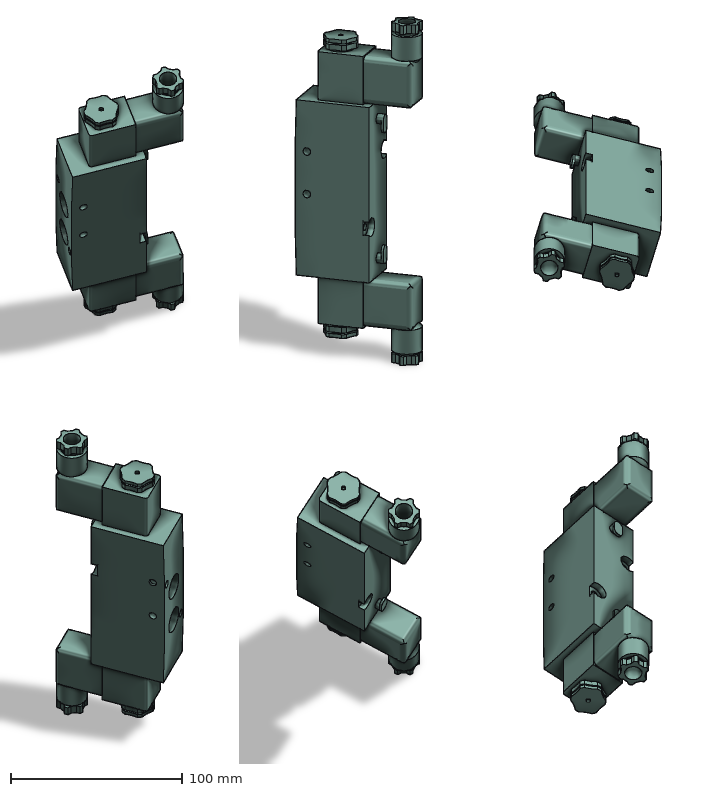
import cadquery as cq
import math


body_width = 30.0
body_depth = 46.0
body_half_length = 27.2
cap_end = 53.7
cap_plate_thickness = 1.9
cap_front_taper = 0.6

port_mouth_diameter = 15.5
port_floor_diameter = 15.0
port_depth = 25.0
port_pitch = 26.0
port_middle_z = -3.3
small_hole_diameter = 4.5
cross_hole_y = 7.3
mount_hole_x = 11.2
mount_hole_z = 20.5
counterbore_diameter = 11.0
counterbore_depth = 4.0

lever_width = 6.0
lever_z = 42.6
lever_reach = 5.2
lever_thickness = 1.5
lever_projection = 4.5

coil_width = 22.0
coil_front_y = 12.3
coil_back_y = 40.8
coil_end = 83.2
coil_corner_radius = 1.9

coil_nut_y = body_depth / 2
coil_neck_diameter = 15.0
coil_nut_radius = 10.3
coil_nut_valley_radius = 9.2
coil_nut_valley_half_angle = 22.0
coil_nut_start = 84.7
coil_groove_start = 88.0
coil_groove_end = 89.0
coil_nut_end = 91.3
coil_nut_hole_diameter = 2.5
coil_nut_hole_depth = 2.0

connector_width = 21.0
connector_back_y = 70.7
connector_end = 82.5
connector_edge_radius = 3.3

gland_diameter = 18.0
gland_back_y = 73.0
gland_y = gland_back_y - gland_diameter / 2
gland_start = 82.4
gland_end = 97.0
gland_cone_height = 2.7
gland_neck_diameter = 13.5
gland_nut_start = 98.5
gland_notch_floor = 7.3
gland_notch_floor_width = 3.1
gland_notch_half_angle = 23.0
overall_half_length = 104.0
cable_bore_diameter = 10.0

grip_count = 6


def box(x_size, y_min, y_max, z_min, z_max):
    """Block centred on X = 0 between the given Y and Z limits."""
    size_y = y_max - y_min
    return cq.Workplane("XY", origin=(0, y_min, z_min)).box(
        x_size, size_y, z_max - z_min, centered=(True, False, False)
    )


def upright(diameter, y, z_min, z_max):
    """Cylinder along Z on the plane X = 0."""
    return cq.Workplane("XY", origin=(0, y, z_min)).circle(diameter / 2).extrude(z_max - z_min)


def along_y(diameter, x, z, y_min, y_max):
    """Cylinder along Y."""
    plane = cq.Plane(origin=(x, y_min, z), xDir=(1, 0, 0), normal=(0, 1, 0))
    return cq.Workplane(plane).circle(diameter / 2).extrude(y_max - y_min)


def polar(radius, degrees):
    angle = math.radians(degrees)
    return (radius * math.cos(angle), radius * math.sin(angle))


def make_coil_disc(z_min, z_max):
    """Disc with six rounded lobes separated by shallow concave valleys."""
    step = 360 / grip_count
    lobe_half_angle = step / 2 - coil_nut_valley_half_angle
    first_lobe = 90
    start = polar(coil_nut_radius, first_lobe - lobe_half_angle)
    outline = cq.Workplane("XY", origin=(0, coil_nut_y, z_min)).moveTo(*start)
    for i in range(grip_count):
        lobe = first_lobe + i * step
        valley = lobe + step / 2
        outline = outline.threePointArc(
            polar(coil_nut_radius, lobe), polar(coil_nut_radius, lobe + lobe_half_angle)
        )
        outline = outline.threePointArc(
            polar(coil_nut_valley_radius, valley),
            polar(coil_nut_radius, valley + coil_nut_valley_half_angle),
        )
    return outline.close().extrude(z_max - z_min)


def make_gland_nut():
    """Round nut with six flat-bottomed notches that widen outwards."""
    nut = upright(gland_diameter, gland_y, gland_nut_start, overall_half_length)
    rim_x, rim_y = polar(gland_diameter / 2, 90 - gland_notch_half_angle)
    floor_x = gland_notch_floor_width / 2
    side_slope = (rim_x - floor_x) / (rim_y - gland_notch_floor)
    outer_y = gland_diameter / 2
    outer_x = floor_x + side_slope * (outer_y - gland_notch_floor)
    profile = [
        (-floor_x, gland_notch_floor),
        (floor_x, gland_notch_floor),
        (outer_x, outer_y),
        (-outer_x, outer_y),
    ]
    notch = (
        cq.Workplane("XY", origin=(0, gland_y, gland_nut_start))
        .polyline(profile)
        .close()
        .extrude(overall_half_length - gland_nut_start)
    )
    axis_start = (0, gland_y, 0)
    axis_end = (0, gland_y, 1)
    for i in range(grip_count):
        nut = nut.cut(notch.rotate(axis_start, axis_end, i * 360 / grip_count))
    return nut


def make_port(z):
    """Slightly tapered blind port, wider at the front face than at its floor."""
    plane = cq.Plane(origin=(0, 0, z), xDir=(1, 0, 0), normal=(0, 1, 0))
    return (
        cq.Workplane(plane)
        .circle(port_mouth_diameter / 2)
        .workplane(offset=port_depth)
        .circle(port_floor_diameter / 2)
        .loft()
    )


def make_body():
    body = box(body_width, 0, body_depth, -body_half_length, body_half_length)
    for side in (-1, 1):
        port_z = port_middle_z + side * port_pitch / 2
        body = body.cut(make_port(port_z))
        hole_x = -side * mount_hole_x
        hole_z = side * mount_hole_z
        body = body.cut(along_y(small_hole_diameter, hole_x, hole_z, 0, body_depth))
        counterbore_floor = body_depth - counterbore_depth
        body = body.cut(along_y(counterbore_diameter, hole_x, hole_z, counterbore_floor, body_depth))
    for hole_z in (port_middle_z, port_middle_z + port_pitch):
        cross_hole = (
            cq.Workplane("YZ", origin=(0, cross_hole_y, hole_z))
            .circle(small_hole_diameter / 2)
            .extrude(body_width, both=True)
        )
        body = body.cut(cross_hole)
    return body


def make_cap():
    """End cap whose front face leans back towards a straight end plate."""
    plate_start = cap_end - cap_plate_thickness
    profile = [
        (0, body_half_length),
        (cap_front_taper, plate_start),
        (cap_front_taper, cap_end),
        (body_depth, cap_end),
        (body_depth, body_half_length),
    ]
    return cq.Workplane("YZ").polyline(profile).close().extrude(body_width / 2, both=True)


def make_lever():
    lever_back = body_depth + lever_projection
    lever_front = lever_back - lever_thickness
    tip_z = lever_z - lever_reach
    stem = along_y(lever_width, 0, lever_z, body_depth, lever_back)
    arm = box(lever_width, lever_front, lever_back, tip_z, lever_z)
    tip = along_y(lever_width, 0, tip_z, lever_front, lever_back)
    return stem.union(arm).union(tip)


def make_coil():
    coil = box(coil_width, coil_front_y, coil_back_y, cap_end, coil_end)
    coil = coil.edges("|Z and <Y").fillet(coil_corner_radius)
    coil = coil.union(upright(coil_neck_diameter, coil_nut_y, coil_end, coil_nut_end))
    for z_min, z_max in ((coil_nut_start, coil_groove_start), (coil_groove_end, coil_nut_end)):
        coil = coil.union(make_coil_disc(z_min, z_max))
    hole_floor = coil_nut_end - coil_nut_hole_depth
    return coil.cut(upright(coil_nut_hole_diameter, coil_nut_y, hole_floor, coil_nut_end))


def make_connector():
    connector = box(connector_width, coil_back_y, connector_back_y, cap_end, connector_end)
    rounded_along_y = connector.edges("|Y").fillet(connector_edge_radius)
    rounded_along_x = connector.edges("|X and >Y").fillet(connector_edge_radius)
    rounded_along_z = connector.edges("|Z and >Y").fillet(connector_edge_radius)
    connector = rounded_along_y.intersect(rounded_along_x).intersect(rounded_along_z)

    cone = (
        cq.Workplane("XY", origin=(0, gland_y, gland_start))
        .circle(gland_diameter / 2)
        .workplane(offset=-gland_cone_height)
        .circle(gland_diameter / 2 - gland_cone_height)
        .loft()
    )
    gland = upright(gland_diameter, gland_y, gland_start, gland_end)
    neck = upright(gland_neck_diameter, gland_y, gland_end, gland_nut_start)
    nut = make_gland_nut()
    connector = connector.union(cone).union(gland).union(neck).union(nut)
    return connector.cut(upright(cable_bore_diameter, gland_y, gland_start, overall_half_length))


end = make_cap().union(make_lever()).union(make_coil()).union(make_connector())
result = make_body().union(end).union(end.mirror("XY"))